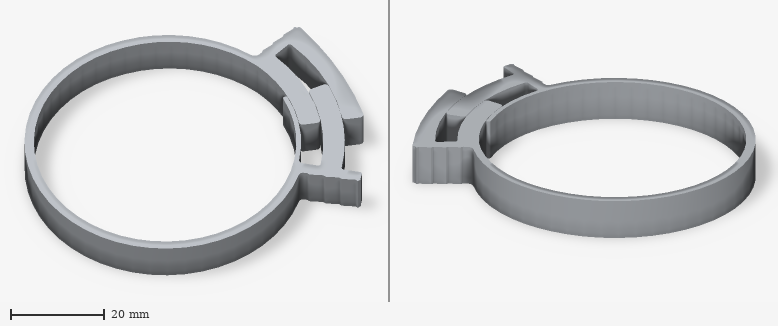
import cadquery as cq
import math


width = 8.8
ring_outer = 30.23
total_length = 73.3
top_y = total_length - ring_outer

ring_wall = 2.015
ring_inner = ring_outer - ring_wall

ring_end_angle = 270.0
band_mid_angle = -57.0
band_mid_inner = 28.7
band_mid_outer = 30.55
band_end_outer = 30.9

gap = 0.1
arm_thickness = 4.6
strap_outer = 29.25
lower_inner = strap_outer + gap
lower_outer = lower_inner + arm_thickness
middle_inner = lower_outer + gap
middle_outer = middle_inner + arm_thickness
upper_inner = middle_outer + gap
back_radius = 71.5
back_center_x = 5.3
arm_end_angle = 8.1
strap_end_angle = 9.1

left_post_angle = 28.7
right_post_angle = 29.0
root_angle = 30.0
left_post_root = 29.75
right_post_root = 29.0
first_tip = 2.65
tip_growth = 0.1
tooth_height = 0.3
tooth_count = 4
root_thickness = 2.8
tooth_undercut = 0.6
first_tooth = 42.8
left_tooth_pitch = 3.15
right_tooth_pitch = 3.5
left_post_top = 45.45
left_arm_top = 44.0
right_post_top = 43.25
left_shoulder = 43.1
right_shoulder = 43.4
left_shoulder_offset = 1.9
right_shoulder_offset = 1.9

end_radius = 0.9
post_top_radius = 0.45
strap_end_radius = 0.4
pocket_radius = 0.5
strap_pocket_radius = 0.9
left_throat_radius = 1.5
right_throat_radius = 0.9


def polar(radius, angle):
    turn = math.radians(angle)
    return (radius * math.sin(turn), radius * math.cos(turn))


def sector(inner, outer, start, end):
    """Part of a flat ring, running clockwise from start to end."""
    middle = (start + end) / 2
    return (
        cq.Workplane("XY")
        .moveTo(*polar(inner, start))
        .threePointArc(polar(inner, middle), polar(inner, end))
        .lineTo(*polar(outer, end))
        .threePointArc(polar(outer, middle), polar(outer, start))
        .close()
        .extrude(width)
    )


def round_corner(body, point, radius):
    """Fillet the upright edge nearest to a point of the XY plane."""
    upright = body.edges("|Z")
    nearest = cq.selectors.NearestToPointSelector((point[0], point[1], width / 2))
    return body.newObject(upright.edges(nearest).vals()).fillet(radius)


def post_point(side, offset, reach):
    """Point at a distance outside the radial inner face of a post (side -1 left, +1 right)."""
    turn = math.radians(left_post_angle if side < 0 else right_post_angle)
    x = reach * math.sin(turn) + offset * math.cos(turn)
    y = reach * math.cos(turn) - offset * math.sin(turn)
    return (side * x, y)


def toothed_post(side, root, top, shoulder, shoulder_offset, pitch):
    """Post with a straight radial inner face and a row of grip teeth on its outer face."""
    points = [(0, root), (0, top), (shoulder_offset, top), (shoulder_offset, shoulder)]
    for tooth in range(tooth_count):
        reach = first_tooth - tooth * pitch
        tip = first_tip + tooth * tip_growth
        points.append((tip, reach))
        points.append((tip - tooth_height, reach - tooth_undercut))
    points.append((root_thickness, root))
    outline = [post_point(side, *point) for point in points]
    return cq.Workplane("XY").polyline(outline).close().extrude(width)


def left_claw():
    """Lower and upper arms on the left post; the upper arm has a flatter back."""
    back = (
        cq.Workplane("XY")
        .center(back_center_x, top_y - back_radius)
        .circle(back_radius)
        .extrude(width)
    )
    lower = sector(lower_inner, lower_outer, -root_angle, arm_end_angle)
    upper = sector(upper_inner, left_post_top, -root_angle, arm_end_angle).intersect(back)
    post = toothed_post(
        -1, left_post_root, left_post_top, left_shoulder, left_shoulder_offset, left_tooth_pitch
    )
    claw = lower.union(upper).union(post.intersect(back))
    claw = round_corner(claw, post_point(-1, left_shoulder_offset, left_arm_top), post_top_radius)
    for radius in (lower_inner, lower_outer, upper_inner, top_y):
        claw = round_corner(claw, polar(radius, arm_end_angle), end_radius)
    for radius in (lower_outer, upper_inner):
        claw = round_corner(claw, polar(radius, -left_post_angle), pocket_radius)
    return claw


def right_claw():
    """Thin inner strap and middle arm on the right post."""
    strap = sector(ring_inner, strap_outer, -strap_end_angle, root_angle)
    middle = sector(middle_inner, middle_outer, -arm_end_angle, root_angle)
    post = toothed_post(
        1, right_post_root, right_post_top, right_shoulder, right_shoulder_offset, right_tooth_pitch
    )
    post = round_corner(post, polar(right_post_top, right_post_angle), post_top_radius)
    claw = strap.union(middle).union(post)
    for radius in (middle_inner, middle_outer):
        claw = round_corner(claw, polar(radius, -arm_end_angle), end_radius)
        claw = round_corner(claw, polar(radius, right_post_angle), pocket_radius)
    claw = round_corner(claw, polar(strap_outer, right_post_angle), strap_pocket_radius)
    for radius in (ring_inner, strap_outer):
        claw = round_corner(claw, polar(radius, -strap_end_angle), strap_end_radius)
    return claw


def left_band():
    """Bulging quarter that joins the round part of the ring to the left claw."""
    return (
        cq.Workplane("XY")
        .moveTo(-ring_inner, 0)
        .threePointArc(polar(band_mid_inner, band_mid_angle), polar(lower_inner, -root_angle))
        .lineTo(*polar(band_end_outer, -root_angle))
        .threePointArc(polar(band_mid_outer, band_mid_angle), (-ring_outer, 0))
        .close()
        .extrude(width)
    )


ring = sector(ring_inner, ring_outer, root_angle, ring_end_angle)
clamp = ring.union(left_band()).union(left_claw()).union(right_claw())

clamp = round_corner(clamp, post_point(-1, root_thickness, band_end_outer), left_throat_radius)
clamp = round_corner(clamp, post_point(1, root_thickness, ring_outer), right_throat_radius)

result = clamp